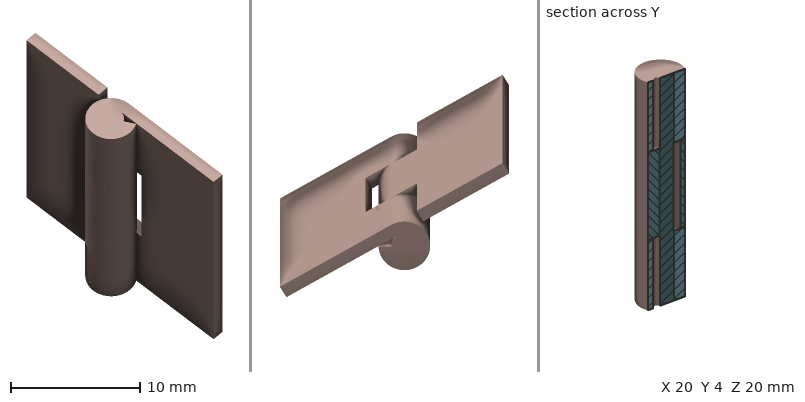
import cadquery as cq
import math

hinge_width = 20.0
hinge_height = 20.0
sheet = 1.0
pin_radius = 1.0
knuckle_radius = pin_radius + sheet
middle_knuckle_height = 7.7
plate_gap = 0.3
curl_end_angle = 28.5

plate_reach = hinge_width / 2
plate_start = knuckle_radius + plate_gap
end_knuckle_height = (hinge_height - middle_knuckle_height) / 2


def polar(radius, angle):
    return (radius * math.cos(math.radians(angle)), radius * math.sin(math.radians(angle)))


def make_plate():
    """Flat part of a leaf on the +X side, clear of the knuckles."""
    plate_length = plate_reach - plate_start
    plate = cq.Workplane("XY").box(plate_length, sheet, hinge_height, centered=(False, False, True))
    return plate.translate((plate_start, pin_radius, 0))


def make_knuckle(height, bottom):
    """Tab running in from the plate and rolled around the pin, open at the curl end."""
    roll_middle_angle = (90 + curl_end_angle + 360) / 2
    return (
        cq.Workplane("XY", origin=(0, 0, bottom))
        .moveTo(plate_start, pin_radius)
        .lineTo(plate_start, knuckle_radius)
        .lineTo(0, knuckle_radius)
        .threePointArc(polar(knuckle_radius, roll_middle_angle), polar(knuckle_radius, curl_end_angle))
        .lineTo(*polar(pin_radius, curl_end_angle))
        .threePointArc(polar(pin_radius, roll_middle_angle), polar(pin_radius, 90))
        .close()
        .extrude(height)
    )


def make_two_knuckle_leaf():
    """Leaf on the +X side, with a knuckle at each end of the pin."""
    leaf = make_plate()
    for bottom in (-hinge_height / 2, middle_knuckle_height / 2):
        leaf = leaf.union(make_knuckle(end_knuckle_height, bottom))
    return leaf


def make_one_knuckle_leaf():
    """Leaf on the -X side, with a single knuckle between the other two."""
    knuckle = make_knuckle(middle_knuckle_height, -middle_knuckle_height / 2)
    return make_plate().union(knuckle).mirror("YZ")


def make_pin():
    """Plain pin, flush with the outer knuckle faces."""
    return cq.Workplane("XY").circle(pin_radius).extrude(hinge_height / 2, both=True)


two_knuckle_leaf = make_two_knuckle_leaf()
one_knuckle_leaf = make_one_knuckle_leaf()
pin = make_pin()

result = cq.Compound.makeCompound(
    [
        two_knuckle_leaf.solids().val(),
        one_knuckle_leaf.solids().val(),
        pin.solids().val(),
    ]
)